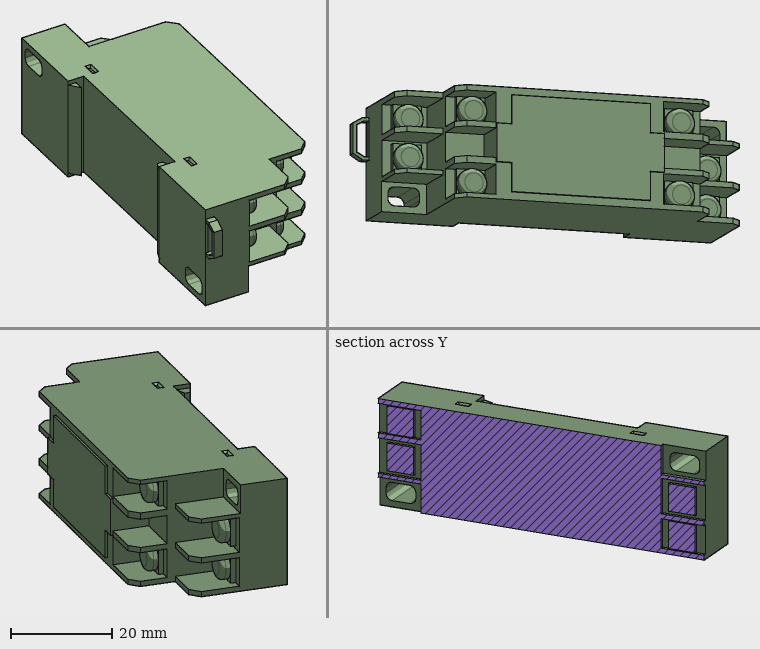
import cadquery as cq

LENGTH = 71.8
WIDTH = 22.7
TALL_HEIGHT = 29.45
STEP_HEIGHT = 20.1
STEP_LENGTH = 9.4
CORNER_CHAMFER = 1.95

NOTCH_START = 18.1
NOTCH_END = LENGTH - NOTCH_START
NOTCH_DEPTH = 3.6
LIP_REACH = 2.1
LIP_HEIGHT = 1.8
RAIL_GRIP_MARGIN = 0.9

PLATE_START = 19.5
PLATE_END = 54.4
PLATE_THICKNESS = 0.5
PLATE_WIDE_Z = (1.6, 21.1)
PLATE_TAB_Z = (7.4, 15.25)
FRONT_TAB_LENGTH = 2.9
REAR_TAB_LENGTH = 3.15

UPPER_FLOOR = 21.85
LOWER_FLOOR = 10.15
UPPER_SCREW_BAYS = [(1.1, 7.2), (15.7, 21.8)]
UPPER_EMPTY_BAY = (8.3, 14.35)
LOWER_SCREW_BAYS = [(1.1, 7.2), (8.3, 15.7)]
OPEN_CORNER_START = 16.6
OPEN_CORNER_FLOOR = 9.9
FRONT_BAY_DEPTH = PLATE_START - STEP_LENGTH
REAR_BAY_DEPTH = LENGTH - STEP_LENGTH - PLATE_END

PAD_WIDTH = 5.9
PAD_THICKNESS = 1.1
SCREW_DIAMETER = PAD_WIDTH
SCREW_HEIGHT = 2.0
SCREW_ROUNDING = 1.05
SCREW_SETBACK = 4.9

SLOT_LENGTH = 6.5
SLOT_WIDTH = 3.8
SLOT_ROUNDING = 1.35
SLOT_MARGIN = 1.35

POCKET_LENGTH = 2.9
POCKET_WIDTH = 1.35
POCKET_DEPTH = 0.45
POCKET_Y = 6.3

NOSE_REACH = 2.25
NOSE_ROOT_HEIGHT = 3.0
NOSE_TIP_Y = (0.9, 2.1)
LOOP_REACH = 75.1 - LENGTH
LOOP_HEIGHT = 1.95
LOOP_CENTER_Z = 16.15
LOOP_HALF_WIDTH = 4.3
LOOP_TIP_HALF_WIDTH = 3.1
LOOP_KNEE = 1.35
LOOP_WALL = 0.7
LOOP_TIP_WALL = 0.75
LOOP_INNER_KNEE = 1.0
LOOP_INNER_TIP_HALF_WIDTH = 2.8
TONGUE_BOTTOM = 0.6


def block(x_range, y_range, z_range):
    """Box given by its extent along each axis."""
    size = [high - low for low, high in (x_range, y_range, z_range)]
    corner = (x_range[0], y_range[0], z_range[0])
    return cq.Workplane("XY").box(*size, centered=False).translate(corner)


def at_other_end(shape):
    """Half turn about the housing's Y axis, which swaps its two ends."""
    axis_point = (LENGTH / 2, 0, WIDTH / 2)
    return shape.rotate(axis_point, (LENGTH / 2, 1, WIDTH / 2), 180)


def make_shell():
    c = CORNER_CHAMFER
    outline = [
        (0, 0),
        (NOTCH_START, 0),
        (NOTCH_START, NOTCH_DEPTH),
        (NOTCH_END, NOTCH_DEPTH),
        (NOTCH_END, 0),
        (LENGTH, 0),
        (LENGTH, STEP_HEIGHT - c),
        (LENGTH - c, STEP_HEIGHT),
        (LENGTH - STEP_LENGTH, STEP_HEIGHT),
        (LENGTH - STEP_LENGTH, TALL_HEIGHT - c),
        (LENGTH - STEP_LENGTH - c, TALL_HEIGHT),
        (STEP_LENGTH + c, TALL_HEIGHT),
        (STEP_LENGTH, TALL_HEIGHT - c),
        (STEP_LENGTH, STEP_HEIGHT),
        (c, STEP_HEIGHT),
        (0, STEP_HEIGHT - c),
    ]
    return cq.Workplane("XY").polyline(outline).close().extrude(WIDTH)


def make_lip():
    outline = [
        (NOTCH_START, 0),
        (NOTCH_START + LIP_REACH, LIP_HEIGHT),
        (NOTCH_START, LIP_HEIGHT),
    ]
    lip = cq.Workplane("XY").polyline(outline).close().extrude(WIDTH - 2 * RAIL_GRIP_MARGIN)
    return lip.translate((0, 0, RAIL_GRIP_MARGIN))


def make_label_plate():
    thickness = (TALL_HEIGHT, TALL_HEIGHT + PLATE_THICKNESS)
    wide = (PLATE_START + FRONT_TAB_LENGTH, PLATE_END - REAR_TAB_LENGTH)
    plate = block(wide, thickness, PLATE_WIDE_Z)
    return plate.union(block((PLATE_START, PLATE_END), thickness, PLATE_TAB_Z))


def make_bay_space(upper_depth):
    """Space removed at the -X end for its terminal bays and open corner."""
    upper_x = (STEP_LENGTH, STEP_LENGTH + upper_depth)
    lower_x = (0, STEP_LENGTH)
    space = block(lower_x, (OPEN_CORNER_FLOOR, STEP_HEIGHT), (OPEN_CORNER_START, WIDTH))
    for bay in UPPER_SCREW_BAYS + [UPPER_EMPTY_BAY]:
        space = space.union(block(upper_x, (UPPER_FLOOR, TALL_HEIGHT), bay))
    for bay in LOWER_SCREW_BAYS:
        space = space.union(block(lower_x, (LOWER_FLOOR, STEP_HEIGHT), bay))
    return space


def make_terminal(axis_x, floor, bay):
    """Square pad carrying a screw head with a rounded rim."""
    axis_z = sum(bay) / 2
    pad_top = floor + PAD_THICKNESS
    half = PAD_WIDTH / 2
    pad = block((axis_x - half, axis_x + half), (floor, pad_top), (axis_z - half, axis_z + half))
    head = cq.Workplane("XZ").circle(SCREW_DIAMETER / 2).extrude(-SCREW_HEIGHT)
    head = head.faces(">Y").edges().fillet(SCREW_ROUNDING)
    return pad.union(head.translate((axis_x, pad_top, axis_z)))


def make_terminals():
    """All terminals of the -X end."""
    upper_x = STEP_LENGTH + SCREW_SETBACK
    terminals = [make_terminal(upper_x, UPPER_FLOOR, bay) for bay in UPPER_SCREW_BAYS]
    terminals += [make_terminal(SCREW_SETBACK, LOWER_FLOOR, bay) for bay in LOWER_SCREW_BAYS]
    return terminals


def make_mounting_slot():
    """Slot under the open corner of the -X end."""
    x_range = (SLOT_MARGIN, SLOT_MARGIN + SLOT_LENGTH)
    z_range = (WIDTH - SLOT_MARGIN - SLOT_WIDTH, WIDTH - SLOT_MARGIN)
    return block(x_range, (0, OPEN_CORNER_FLOOR), z_range).edges("|Y").fillet(SLOT_ROUNDING)


def make_side_pocket(center_x):
    pocket = cq.Workplane("XY").rect(POCKET_LENGTH, POCKET_WIDTH).extrude(-POCKET_DEPTH, taper=45)
    return pocket.translate((center_x, POCKET_Y, WIDTH))


def make_tongue():
    """Hidden bar of the clip, which also shapes its channel in the housing."""
    z_range = (LOOP_CENTER_Z - LOOP_HALF_WIDTH, LOOP_CENTER_Z + LOOP_HALF_WIDTH)
    return block((NOTCH_END, LENGTH), (TONGUE_BOTTOM, LOOP_HEIGHT), z_range)


def make_housing():
    housing = make_shell().union(make_lip()).union(make_label_plate())
    housing = housing.cut(make_bay_space(FRONT_BAY_DEPTH))
    housing = housing.cut(at_other_end(make_bay_space(REAR_BAY_DEPTH)))
    for terminal in make_terminals():
        housing = housing.union(terminal).union(at_other_end(terminal))
    slot = make_mounting_slot()
    housing = housing.cut(slot).cut(at_other_end(slot))
    pocket_x = NOTCH_START - POCKET_LENGTH / 2
    for center_x in (pocket_x, LENGTH - pocket_x):
        housing = housing.cut(make_side_pocket(center_x))
    return housing.cut(make_tongue())


def make_nose():
    outline = [
        (NOTCH_END, 0),
        (NOTCH_END, NOSE_ROOT_HEIGHT),
        (NOTCH_END - NOSE_REACH, NOSE_TIP_Y[1]),
        (NOTCH_END - NOSE_REACH, NOSE_TIP_Y[0]),
    ]
    nose = cq.Workplane("XY").polyline(outline).close().extrude(WIDTH - 2 * RAIL_GRIP_MARGIN)
    return nose.translate((0, 0, RAIL_GRIP_MARGIN))


def make_loop_blank(reach, knee, half_width, tip_half_width):
    """Block with a narrowed tip, standing out from the +X end of the housing."""
    outline = [
        (0, -half_width),
        (knee, -half_width),
        (reach, -tip_half_width),
        (reach, tip_half_width),
        (knee, half_width),
        (0, half_width),
    ]
    blank = cq.Workplane("XZ").polyline(outline).close().extrude(-LOOP_HEIGHT)
    return blank.translate((LENGTH, 0, LOOP_CENTER_Z))


def make_pull_loop():
    outer = make_loop_blank(LOOP_REACH, LOOP_KNEE, LOOP_HALF_WIDTH, LOOP_TIP_HALF_WIDTH)
    opening = make_loop_blank(
        LOOP_REACH - LOOP_TIP_WALL,
        LOOP_INNER_KNEE,
        LOOP_HALF_WIDTH - LOOP_WALL,
        LOOP_INNER_TIP_HALF_WIDTH,
    )
    return outer.cut(opening)


def make_rail_clip():
    return make_nose().union(make_tongue()).union(make_pull_loop())


housing = make_housing()
rail_clip = make_rail_clip()

result = cq.Compound.makeCompound([housing.solids().val(), rail_clip.solids().val()])